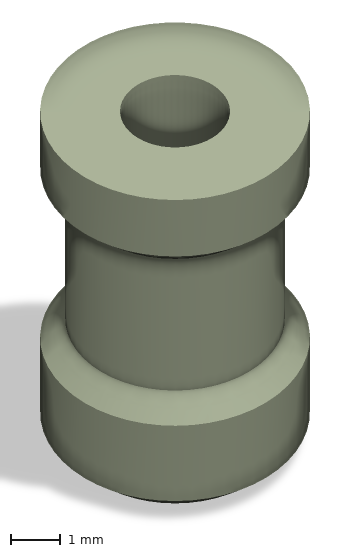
import cadquery as cq

collar_diameter = 5.4
neck_diameter = 4.4
bore_diameter = 2.2

lower_collar_length = 2.0
neck_length = 3.5
upper_collar_length = 1.5

collar_radius = collar_diameter / 2
neck_radius = neck_diameter / 2
bore_radius = bore_diameter / 2

taper_length = collar_radius - neck_radius

lower_collar_start = taper_length
lower_collar_end = lower_collar_start + lower_collar_length
neck_start = lower_collar_end + taper_length
neck_end = neck_start + neck_length
upper_collar_start = neck_end + taper_length
total_height = upper_collar_start + upper_collar_length


def spool():
    """Revolve the half section, from bore to outer wall, around the Z axis."""
    half_section = (
        cq.Workplane("XZ")
        .moveTo(bore_radius, 0)
        .lineTo(neck_radius, 0)
        .lineTo(collar_radius, lower_collar_start)
        .lineTo(collar_radius, lower_collar_end)
        .lineTo(neck_radius, neck_start)
        .lineTo(neck_radius, neck_end)
        .lineTo(collar_radius, upper_collar_start)
        .lineTo(collar_radius, total_height)
        .lineTo(bore_radius, total_height)
        .close()
    )
    return half_section.revolve(360, (0, 0, 0), (0, 1, 0))


result = spool()